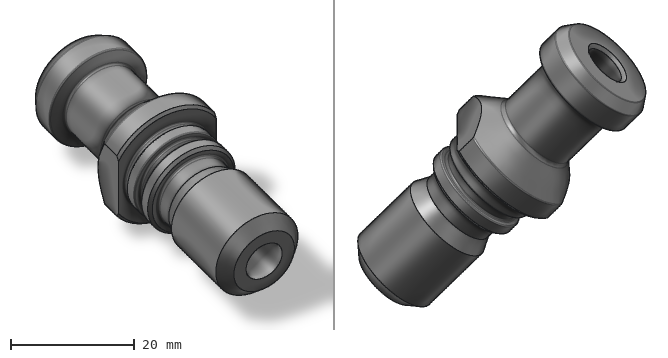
import cadquery as cq

LENGTH = 54.0
OVERLAP = 0.55

HEAD_RADIUS = 19.0 / 2
HEAD_FACE_RADIUS = 16.6 / 2
HEAD_BEVEL_LENGTH = 1.95
HEAD_TAPER_START = 5.9
HEAD_TAPER_END = 6.65
HEAD_FACE_ROUND = 0.15
HEAD_ROUND = 0.25

NECK_RADIUS = 14.0 / 2
NECK_END = 17.45
NECK_ROUND = 0.5
CONE_ROOT_ROUND = 1.1

FLANGE_RADIUS = 23.0 / 2
FLANGE_END = 25.9
FLANGE_CHAMFER = 0.5
FLANGE_ROUND = 0.3
FLAT_SPACING = 19.0
CONE_END = NECK_END + FLANGE_RADIUS - NECK_RADIUS

RELIEF_RADIUS = 16.6 / 2
COLLAR_RADIUS = 17.0 / 2
GROOVE_RADIUS = 14.6 / 2
FRONT_COLLAR_START = 27.0
GROOVE_START = 29.0
GROOVE_END = 31.0
COLLAR_END = 33.4
COLLAR_CHAMFER = 0.55
GROOVE_ROUND = 0.4
COLLAR_ROUND = 0.2
RELIEF_ROUND = 0.3

UNDERCUT_RADIUS = 13.5 / 2
UNDERCUT_END = 36.4
UNDERCUT_ROUND = 0.45
THREAD_RADIUS = 16.0 / 2
THREAD_START = 39.05
THREAD_CHAMFER = 2.1

BORE_RADIUS = 7.0 / 2
BORE_CHAMFER = 0.6


def turned_body():
    """Revolve the stepped half profile around the X axis."""
    profile = [
        (0, 0),
        (0, HEAD_FACE_RADIUS),
        (HEAD_BEVEL_LENGTH, HEAD_RADIUS),
        (HEAD_TAPER_START, HEAD_RADIUS),
        (HEAD_TAPER_END, NECK_RADIUS),
        (NECK_END, NECK_RADIUS),
        (CONE_END, FLANGE_RADIUS),
        (FLANGE_END - FLANGE_CHAMFER, FLANGE_RADIUS),
        (FLANGE_END, FLANGE_RADIUS - FLANGE_CHAMFER),
        (FLANGE_END, RELIEF_RADIUS),
        (FRONT_COLLAR_START, RELIEF_RADIUS),
        (FRONT_COLLAR_START, COLLAR_RADIUS),
        (GROOVE_START, COLLAR_RADIUS),
        (GROOVE_START, GROOVE_RADIUS),
        (GROOVE_END, GROOVE_RADIUS),
        (GROOVE_END, COLLAR_RADIUS),
        (COLLAR_END - COLLAR_CHAMFER, COLLAR_RADIUS),
        (COLLAR_END, COLLAR_RADIUS - COLLAR_CHAMFER),
        (COLLAR_END, UNDERCUT_RADIUS),
        (UNDERCUT_END, UNDERCUT_RADIUS),
        (THREAD_START, THREAD_RADIUS),
        (LENGTH - THREAD_CHAMFER, THREAD_RADIUS),
        (LENGTH, THREAD_RADIUS - THREAD_CHAMFER),
        (LENGTH, 0),
    ]
    return cq.Workplane("XY").polyline(profile).close().revolve(360, (0, 0, 0), (1, 0, 0))


def round_step(body, x, radius, size):
    """Fillet the circular edge of the given radius centred at x on the axis."""
    tolerance = 0.005

    def is_step(edge):
        if edge.geomType() != "CIRCLE":
            return False
        center = edge.arcCenter()
        return abs(center.x - x) < tolerance and abs(edge.radius() - radius) < tolerance

    edges = [edge for edge in body.edges().vals() if is_step(edge)]
    return body.newObject(edges).fillet(size)


def cut_flats(body):
    """Keep only the material between the two wrench flats."""
    slab = cq.Workplane("XY").box(LENGTH + 2 * OVERLAP, FLAT_SPACING, 2 * FLANGE_RADIUS + OVERLAP)
    return body.intersect(slab.translate((LENGTH / 2, 0, 0)))


def cut_bore(body):
    """Drill through along X and chamfer the mouth in the head."""
    bore = cq.Workplane("YZ").circle(BORE_RADIUS).extrude(LENGTH)
    mouth = cq.Solid.makeCone(
        BORE_RADIUS + BORE_CHAMFER, BORE_RADIUS, BORE_CHAMFER, cq.Vector(0, 0, 0), cq.Vector(1, 0, 0)
    )
    return body.cut(bore).cut(cq.Workplane(mouth))


ROUNDED_STEPS = [
    (0, HEAD_FACE_RADIUS, HEAD_FACE_ROUND),
    (HEAD_BEVEL_LENGTH, HEAD_RADIUS, HEAD_ROUND),
    (HEAD_TAPER_START, HEAD_RADIUS, HEAD_ROUND),
    (HEAD_TAPER_END, NECK_RADIUS, NECK_ROUND),
    (NECK_END, NECK_RADIUS, CONE_ROOT_ROUND),
    (CONE_END, FLANGE_RADIUS, FLANGE_ROUND),
    (FLANGE_END, RELIEF_RADIUS, RELIEF_ROUND),
    (GROOVE_START, COLLAR_RADIUS, COLLAR_ROUND),
    (GROOVE_START, GROOVE_RADIUS, GROOVE_ROUND),
    (GROOVE_END, GROOVE_RADIUS, GROOVE_ROUND),
    (GROOVE_END, COLLAR_RADIUS, COLLAR_ROUND),
    (COLLAR_END, UNDERCUT_RADIUS, UNDERCUT_ROUND),
]

stud = turned_body()
for step_x, step_radius, round_size in ROUNDED_STEPS:
    stud = round_step(stud, step_x, step_radius, round_size)

result = cut_bore(cut_flats(stud))